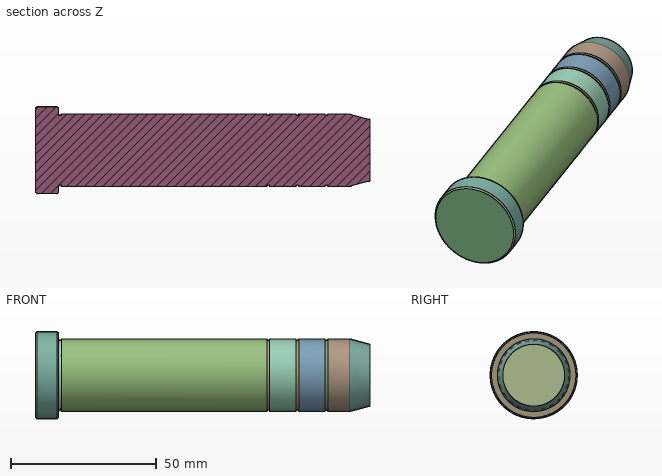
import cadquery as cq
import math

total_length = 115.0
head_diameter = 30.0
head_length = 8.0
head_chamfer = 0.5
shank_diameter = 25.0

lead_length = 7.0
lead_angle = 15.0

groove_radius = 0.5
groove_count = 3
groove_pitch = 10.0
last_groove_to_tip = 15.0

shank_radius = shank_diameter / 2
tip_radius = shank_radius - lead_length * math.tan(math.radians(lead_angle))
lead_start_x = total_length - lead_length
last_groove_x = total_length - last_groove_to_tip
undercut_x = head_length + groove_radius

axis_direction = cq.Vector(1, 0, 0)


def cylinder(start_x, length, diameter):
    """Solid cylinder along +X starting at start_x."""
    return cq.Workplane("YZ", origin=(start_x, 0, 0)).circle(diameter / 2).extrude(length)


def make_head():
    """Disc head with both rims chamfered."""
    disc = cylinder(0, head_length, head_diameter)
    return disc.faces("<X or >X").edges().chamfer(head_chamfer)


def make_shank():
    """Straight shank from the back of the head to the lead-in."""
    return cylinder(head_length, lead_start_x - head_length, shank_diameter)


def make_lead_in():
    """Cone that narrows the shank towards the free end."""
    start = cq.Vector(lead_start_x, 0, 0)
    cone = cq.Solid.makeCone(shank_radius, tip_radius, lead_length, start, axis_direction)
    return cq.Workplane(cone)


def cut_groove(body, center_x):
    """Cut a groove of semicircular section around the shank."""
    center = cq.Vector(center_x, 0, 0)
    ring = cq.Solid.makeTorus(shank_radius, groove_radius, center, axis_direction)
    return body.cut(cq.Workplane(ring))


result = make_head().union(make_shank()).union(make_lead_in())
result = cut_groove(result, undercut_x)
for index in range(groove_count):
    result = cut_groove(result, last_groove_x - index * groove_pitch)